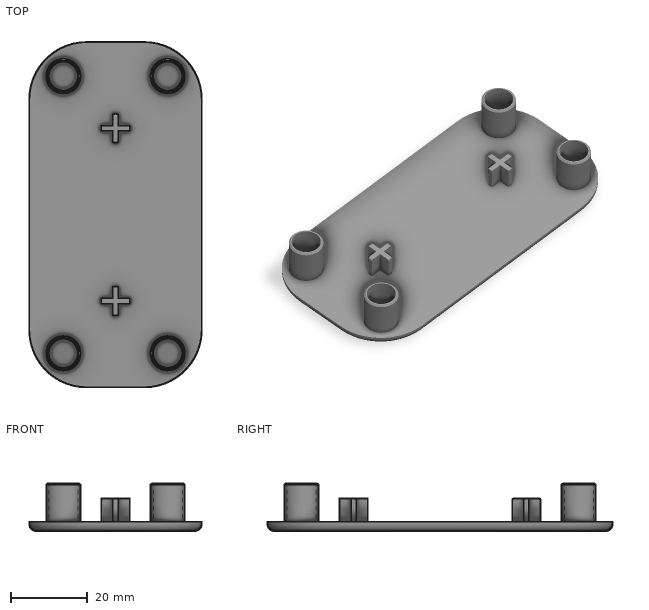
import cadquery as cq

plate_width = 45.0
plate_length = 90.0
plate_thickness = 2.5
corner_radius = 15.0
bottom_edge_radius = 2.0

post_height = 10.0
post_diameter = 9.0
bore_diameter = 7.6
post_chamfer = 0.45
post_spacing_x = 27.2
post_spacing_y = 72.2

cross_diameter = 7.5
cross_thickness = 1.35
cross_height = 6.0
cross_spacing = 45.0
cross_rim_radius = 0.5


def make_plate():
    """Rounded rectangle with its lower edge rounded over."""
    plate = cq.Workplane("XY").box(
        plate_width, plate_length, plate_thickness, centered=(True, True, False)
    )
    plate = plate.edges("|Z").fillet(corner_radius)
    plate = plate.faces("<Z").edges().fillet(bottom_edge_radius)
    return plate.translate((0, 0, -plate_thickness))


def make_posts():
    """Four tubes, chamfered outside at the rim and open down to the plate."""
    post = cq.Workplane("XY").circle(post_diameter / 2).extrude(post_height)
    post = post.faces(">Z").chamfer(post_chamfer)
    bore = cq.Workplane("XY").circle(bore_diameter / 2).extrude(post_height)
    tube = post.cut(bore).val()
    centres = cq.Workplane("XY").rarray(post_spacing_x, post_spacing_y, 2, 2)
    return centres.eachpoint(lambda place: tube.moved(place))


def make_cross(envelope):
    """Two crossing ribs trimmed to a round envelope, so the rib ends are curved."""
    rib = cq.Workplane("XY").box(
        cross_diameter, cross_thickness, cross_height, centered=(True, True, False)
    )
    ribs = rib.union(rib.rotate((0, 0, 0), (0, 0, 1), 90))
    return ribs.intersect(envelope)


plain_envelope = cq.Workplane("XY").circle(cross_diameter / 2).extrude(cross_height)
rounded_envelope = plain_envelope.faces(">Z").edges().fillet(cross_rim_radius)
plain_cross = make_cross(plain_envelope).translate((0, -cross_spacing / 2, 0))
rounded_cross = make_cross(rounded_envelope).translate((0, cross_spacing / 2, 0))

result = make_plate().union(make_posts()).union(plain_cross).union(rounded_cross)